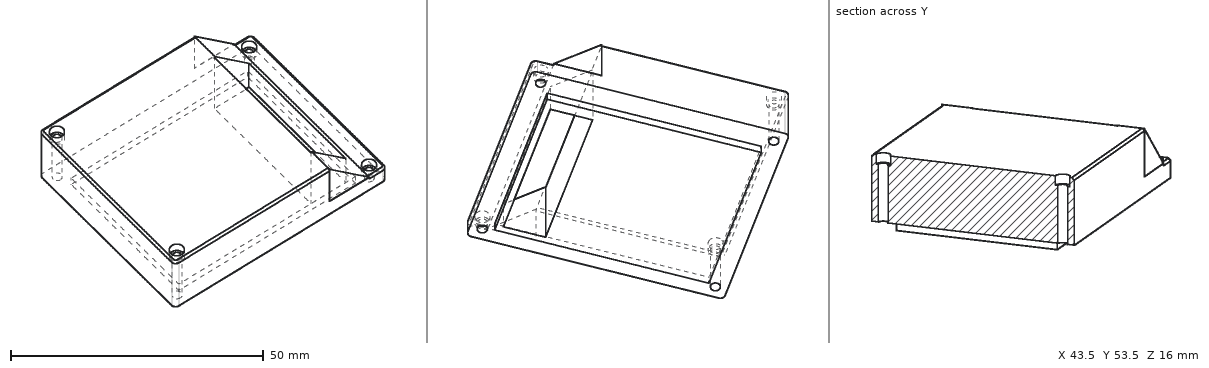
import cadquery as cq

width = 43.5
length = 53.5
body_height = 14.0
flange_height = 4.0
corner_radius = 1.0
top_chamfer = 0.5

slope_run = body_height - flange_height
slope_top_y = 12.3
slope_foot_y = slope_top_y + slope_run
slope_side_inset = 0.05

plinth_margin = 4.5
plinth_height = 2.0

window_width = 31.0
window_length = 8.8
window_center_x = 0.5
window_rear_y = 20.85

screw_diameter = 2.0
head_diameter = 3.0
head_depth = 2.0
screw_inset = 2.5


def make_chamfered_box(height):
    """Full-footprint box with rounded corners and a chamfered top edge."""
    return (
        cq.Workplane("XY")
        .box(width, length, height, centered=(True, True, False))
        .edges("|Z")
        .fillet(corner_radius)
        .faces(">Z")
        .edges()
        .chamfer(top_chamfer)
    )


def make_body():
    """Rounded box, with its rear cut down to a slope and a low flange."""
    front_length = length / 2 + slope_top_y
    main_block = make_chamfered_box(body_height).intersect(
        cq.Workplane("XY")
        .box(width, front_length, body_height, centered=(True, False, False))
        .translate((0, -length / 2, 0))
    )
    flange = make_chamfered_box(flange_height)
    base_strip = (
        cq.Workplane("XY")
        .box(width, slope_run, flange_height, centered=(True, False, False))
        .translate((0, slope_top_y, 0))
    )
    wedge = (
        cq.Workplane("YZ")
        .moveTo(slope_top_y, flange_height)
        .lineTo(slope_foot_y, flange_height)
        .lineTo(slope_top_y, body_height)
        .close()
        .extrude(width / 2 - slope_side_inset, both=True)
    )
    return main_block.union(flange).union(base_strip).union(wedge)


def make_plinth():
    """Plain rectangular plinth, inset equally on all four sides."""
    return cq.Workplane("XY").box(
        width - 2 * plinth_margin,
        length - 2 * plinth_margin,
        plinth_height,
        centered=(True, True, False),
    ).translate((0, 0, -plinth_height))


def make_window():
    """Cutter for the rectangular through window."""
    return cq.Workplane("XY").box(
        window_width,
        window_length,
        body_height + plinth_height,
        centered=(True, False, False),
    ).translate((window_center_x, window_rear_y - window_length, -plinth_height))


def make_screw_hole(x, y, surface_z):
    """Cutter for a through hole counterbored from the given top surface."""
    shank = cq.Workplane("XY").circle(screw_diameter / 2).extrude(surface_z)
    head = (
        cq.Workplane("XY", origin=(0, 0, surface_z - head_depth))
        .circle(head_diameter / 2)
        .extrude(head_depth)
    )
    return shank.union(head).translate((x, y, 0))


result = make_body().union(make_plinth()).cut(make_window())

screw_x = width / 2 - screw_inset
screw_y = length / 2 - screw_inset
for x in (-screw_x, screw_x):
    result = result.cut(make_screw_hole(x, -screw_y, body_height))
    result = result.cut(make_screw_hole(x, screw_y, flange_height))